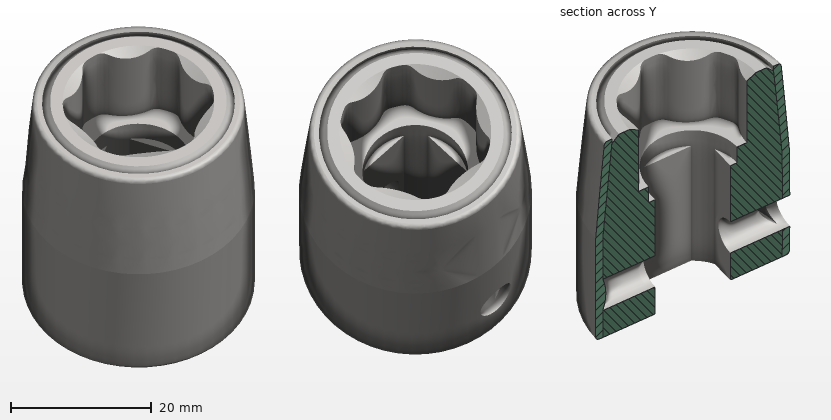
import cadquery as cq

height = 38.3
body_radius = 16.5

lip_height = 38.0
straight_height = 20.0
lip_radius = 15.0
taper_bulge = 0.05
lip_fillet = 0.7
base_fillet = 0.73

wall_thickness = 1.35
lower_bore_radius = body_radius - wall_thickness
upper_bore_radius = lip_radius - wall_thickness

cross_hole_diameter = 6.0
cross_hole_height = 8.35

groove_half_width = 2.85
ridge_depth = 0.45
groove_depth = 1.85

top_chamfer = 1.15
lobe_count = 6
pocket_radius = 10.75
pocket_depth = 12.85
lobe_inner_radius = 9.15
lobe_arc_radius = 7.65
lobe_fillet = 1.9
mouth_depth = 0.9
relief_radius = 7.5
relief_depth = 3.05
drive_width = 12.75


def cylinder(radius, bottom, top):
    return cq.Workplane("XY").workplane(offset=bottom).circle(radius).extrude(top - bottom)


def make_core(waist_depth, chamfer):
    """Round bar, tapered above and waisted by an arc around the cross hole, with a chamfered top."""
    return (
        cq.Workplane("XZ")
        .lineTo(lower_bore_radius, 0)
        .lineTo(lower_bore_radius, cross_hole_height - groove_half_width)
        .threePointArc(
            (lower_bore_radius - waist_depth, cross_hole_height),
            (lower_bore_radius, cross_hole_height + groove_half_width),
        )
        .lineTo(lower_bore_radius, straight_height)
        .lineTo(upper_bore_radius, height - chamfer)
        .lineTo(upper_bore_radius - chamfer, height)
        .lineTo(0, height)
        .close()
        .revolve(360, (0, 0, 0), (0, 1, 0))
    )


def make_cross_hole(start, end):
    """Cylinder along X at the height of the groove."""
    return (
        cq.Workplane("YZ")
        .workplane(offset=start)
        .center(0, cross_hole_height)
        .circle(cross_hole_diameter / 2)
        .extrude(end - start)
    )


def make_sleeve():
    """Tapered sleeve whose bore stays clear of the socket's chamfer and groove bottom."""
    middle = ((body_radius + lip_radius) / 2 + taper_bulge, (straight_height + lip_height) / 2)
    blank = (
        cq.Workplane("XZ")
        .lineTo(body_radius, 0)
        .lineTo(body_radius, straight_height)
        .threePointArc(middle, (lip_radius, lip_height))
        .lineTo(0, lip_height)
        .close()
        .revolve(360, (0, 0, 0), (0, 1, 0))
    )
    blank = blank.faces(">Z").edges().fillet(lip_fillet)
    blank = blank.faces("<Z").edges().fillet(base_fillet)
    bore = make_core(ridge_depth, top_chamfer).union(cylinder(upper_bore_radius, straight_height, height))
    return blank.cut(bore).cut(make_cross_hole(-body_radius, 0))


def make_pocket():
    """Six-lobed wrench pocket with a conical lead-in."""
    floor = height - pocket_depth
    pocket = cylinder(pocket_radius, floor, height)
    lobes = (
        cq.Workplane("XY")
        .workplane(offset=floor)
        .polarArray(lobe_inner_radius + lobe_arc_radius, 0, 360, lobe_count)
        .circle(lobe_arc_radius)
        .extrude(pocket_depth)
    )
    pocket = pocket.cut(lobes).edges("|Z").fillet(lobe_fillet)
    mouth = (
        cq.Workplane("XZ")
        .moveTo(0, height)
        .lineTo(pocket_radius, height)
        .lineTo(lobe_inner_radius, height - mouth_depth)
        .lineTo(0, height - mouth_depth)
        .close()
        .revolve(360, (0, 0, 0), (0, 1, 0))
    )
    return pocket.union(mouth)


def make_drive_opening():
    """Square drive with corners rounded to the round relief above it."""
    relief_top = height - pocket_depth
    relief_bottom = relief_top - relief_depth
    square = cq.Workplane("XY").rect(drive_width, drive_width).extrude(relief_bottom)
    square = square.intersect(cylinder(relief_radius, 0, relief_bottom))
    return square.union(cylinder(relief_radius, relief_bottom, relief_top))


def make_socket():
    """Wrench socket with the lobed pocket on top, the square drive below and a cross hole."""
    core = make_core(groove_depth, top_chamfer)
    cross_hole = make_cross_hole(-body_radius, body_radius)
    return core.cut(make_pocket()).cut(make_drive_opening()).cut(cross_hole)


sleeve = make_sleeve()
socket = make_socket()
result = cq.Compound.makeCompound([sleeve.val(), socket.val()])